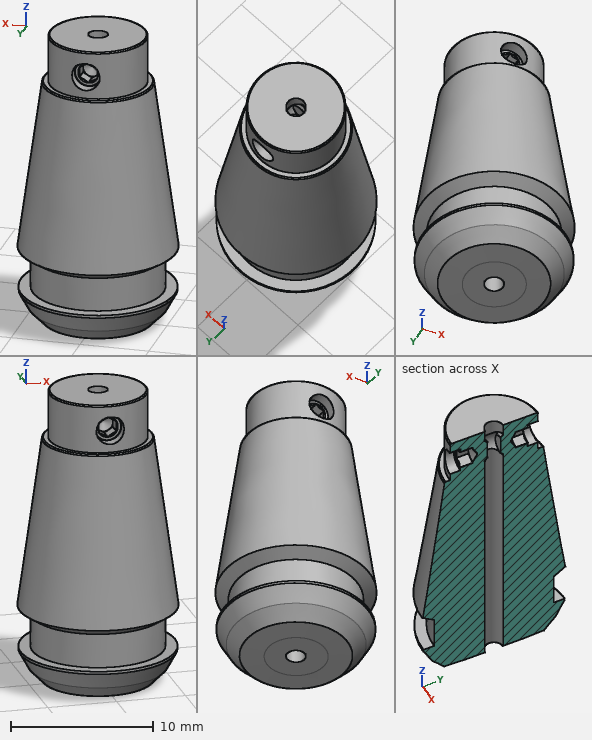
import cadquery as cq
import math

total_height = 21.5
neck_diameter = 7.0
neck_height = 3.5
neck_chamfer = 0.1

body_top_diameter = 7.9
body_max_diameter = 11.35
body_top_chamfer = 0.1

groove_diameter = 9.5
groove_top = 4.95
groove_bottom = 2.47
undercut_height = 0.58

rim_diameter = 11.2
rim_height = 0.2
foot_middle_diameter = 9.83
foot_middle_height = 1.04
foot_end_diameter = 7.94
foot_end_height = 0.07
foot_flat_diameter = 4.5

bore_diameter = 1.4

screw_axis_height = 19.6
screw_hole_diameter = 2.01
screw_tip_offset = 0.5
screw_tip_diameter = 1.5
screw_tip_bevel = (screw_hole_diameter - screw_tip_diameter) / 2
screw_length = 2.2
screw_head_chamfer = 0.05
socket_across_flats = 1.27
socket_depth = 1.0
socket_lead_in = 0.12
drill_point_angle = 120.0


def make_body():
    """Solid of revolution about Z, from the slightly coned underside up to the neck."""
    neck_radius = neck_diameter / 2
    body_top_radius = body_top_diameter / 2
    body_max_radius = body_max_diameter / 2
    groove_radius = groove_diameter / 2
    rim_radius = rim_diameter / 2

    shoulder = total_height - neck_height

    outline = [
        (0, 0),
        (foot_flat_diameter / 2, 0),
        (foot_end_diameter / 2, foot_end_height),
        (foot_middle_diameter / 2, foot_middle_height),
        (rim_radius, groove_bottom - rim_height),
        (rim_radius, groove_bottom),
        (groove_radius, groove_bottom),
        (groove_radius, groove_top),
        (body_max_radius, groove_top + undercut_height),
        (body_top_radius, shoulder - body_top_chamfer),
        (body_top_radius - body_top_chamfer, shoulder),
        (neck_radius, shoulder),
        (neck_radius, total_height - neck_chamfer),
        (neck_radius - neck_chamfer, total_height),
        (0, total_height),
    ]
    return cq.Workplane("XZ").polyline(outline).close().revolve(360, (0, 0), (0, 1))


def make_bore():
    """Through bore along Z."""
    return cq.Workplane("XY").circle(bore_diameter / 2).extrude(total_height)


def revolve_about_screw_axis(outline):
    """Revolve an outline of (radius, distance along -Y) points about the screw axis."""
    points = [(radius, -distance) for radius, distance in outline]
    return (
        cq.Workplane("XY")
        .polyline(points)
        .close()
        .revolve(360, (0, 0), (0, 1))
        .translate((0, 0, screw_axis_height))
    )


def make_set_screw():
    """Set screw on the -Y side: bevelled flat tip, hexagon socket with a drilled end."""
    hole_radius = screw_hole_diameter / 2
    head = screw_tip_offset + screw_length
    shank = revolve_about_screw_axis([
        (0, screw_tip_offset),
        (screw_tip_diameter / 2, screw_tip_offset),
        (hole_radius, screw_tip_offset + screw_tip_bevel),
        (hole_radius, head - screw_head_chamfer),
        (hole_radius - screw_head_chamfer, head),
        (0, head),
    ])

    across_corners = socket_across_flats / math.cos(math.pi / 6)
    socket_floor = head - socket_depth
    socket = (
        cq.Workplane("XZ", origin=(0, -socket_floor, screw_axis_height))
        .transformed(rotate=(0, 0, 30))
        .polygon(6, across_corners)
        .extrude(socket_depth)
    )

    point_radius = socket_across_flats / 2
    point_length = point_radius / math.tan(math.radians(drill_point_angle / 2))
    drill_point = revolve_about_screw_axis([
        (0, socket_floor - point_length),
        (point_radius, socket_floor),
        (0, socket_floor),
    ])

    corner_radius = across_corners / 2
    lead_in = revolve_about_screw_axis([
        (0, head - socket_lead_in),
        (corner_radius - socket_lead_in, head - socket_lead_in),
        (corner_radius, head),
        (0, head),
    ])
    return shank.cut(socket).cut(drill_point).cut(lead_in)


def make_screw_hole():
    """Cross hole along Y, right through the neck."""
    return (
        cq.Workplane("XZ", origin=(0, 0, screw_axis_height))
        .circle(screw_hole_diameter / 2)
        .extrude(neck_diameter / 2, both=True)
    )


set_screw = make_set_screw()
opposite_screw = set_screw.rotate((0, 0, 0), (0, 0, 1), 180)

result = make_body().cut(make_bore()).cut(make_screw_hole()).union(set_screw).union(opposite_screw)